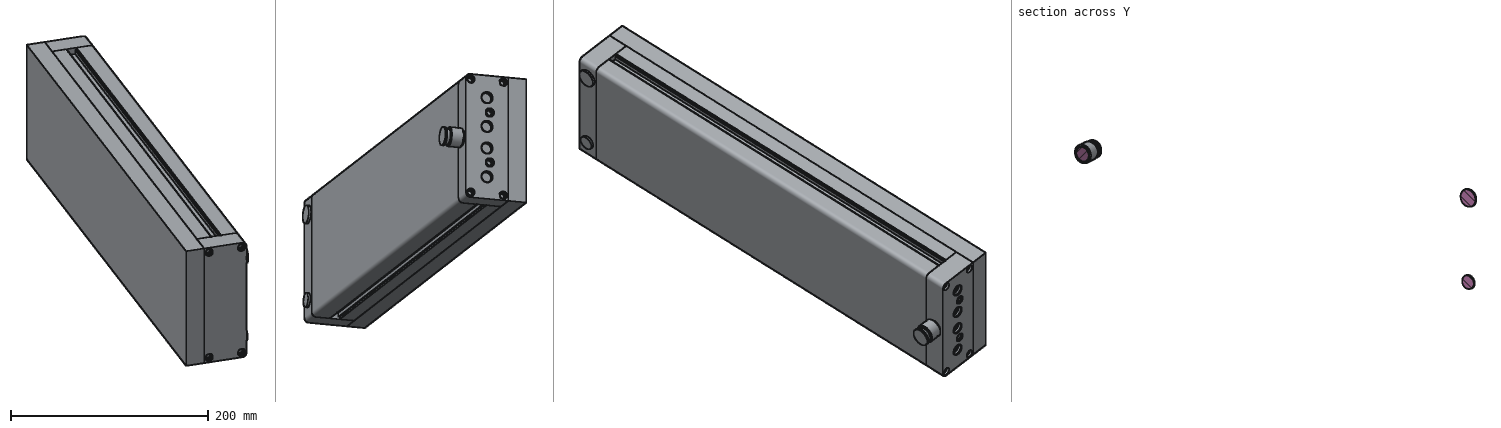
import cadquery as cq

LENGTH = 496.0
HEIGHT = 130.0
TOTAL_DEPTH = 86.5

PAD_DEPTH = 19.5
BODY_BACK = 65.0
CAP_LENGTH = 23.0
EDGE_RADIUS = 5.0

SLOT_CENTER_Y = 40.0
SLOT_MOUTH_WIDTH = 10.5
SLOT_MOUTH_DEPTH = 2.5
SLOT_WIDTH = 8.0
SLOT_DEPTH = 7.0

SCREW_INSET_Z = 5.5
SCREW_YS = (25.0, 59.5)
SCREW_HEAD_RADIUS = 4.0
SCREW_HEAD_DEPTH = 3.0
SCREW_RADIUS = 2.5
SCREW_DEPTH = 5.0

PORT_Y = 42.0
PORT_ZS = (-41.5, -11.5, 11.5, 41.5)
PORT_RADIUS = 6.0
PORT_STEP_DEPTH = 1.0
PORT_BORE_RADIUS = 5.5
PORT_DEPTH = 4.0
MOUNT_Y = 39.0
MOUNT_ZS = (-26.5, 26.5)
MOUNT_RADIUS = 4.5
MOUNT_STEP_DEPTH = 1.5
MOUNT_BORE_RADIUS = 3.0
MOUNT_DEPTH = 5.0

FITTING_NECK_RADIUS = 8.0
FITTING_BODY_RADIUS = 10.0
FITTING_FLANGE_RADIUS = 9.5
FITTING_GAP = 2.0
FITTING_BODY_END = 80.5
FITTING_BODY_CHAMFER = 1.0
FITTING_FLANGE_THICKNESS = 2.0

PLUG_THICKNESS = 2.5
PLUGS = ((9.5, 45.5), (7.5, -44.5))

END_X = LENGTH / 2
CAP_CENTER_X = END_X - CAP_LENGTH / 2
PROFILE_LENGTH = LENGTH - 2 * CAP_LENGTH
SCREW_Z = HEIGHT / 2 - SCREW_INSET_Z


def block(length, center_x, front_y, back_y):
    """Box of the full height between two Y planes."""
    depth = back_y - front_y
    return cq.Workplane("XY").box(length, depth, HEIGHT).translate((center_x, front_y + depth / 2, 0))


def rounded_block(length, center_x):
    """Box from the pad to the back, with its two long back edges rounded."""
    return block(length, center_x, PAD_DEPTH, BODY_BACK).edges("|X and >Y").fillet(EDGE_RADIUS)


def disc_along_y(radius, x, z, start_y, end_y):
    """Cylinder along Y."""
    start = cq.Vector(x, start_y, z)
    return cq.Workplane(cq.Solid.makeCylinder(radius, end_y - start_y, start, cq.Vector(0, 1, 0)))


def hole_cutter(side, radius, depth, y, z):
    """Cylinder reaching inward along X from one end of the part (side is -1 or +1)."""
    start = cq.Vector(side * END_X, y, z)
    return cq.Workplane(cq.Solid.makeCylinder(radius, depth, start, cq.Vector(-side, 0, 0)))


def stepped_hole(body, side, y, z, radius, step_depth, bore_radius, depth):
    """Cut a shallow wide recess with a narrower, deeper bore in it."""
    body = body.cut(hole_cutter(side, radius, step_depth, y, z))
    return body.cut(hole_cutter(side, bore_radius, depth, y, z))


def make_pad():
    return block(LENGTH, 0, 0, PAD_DEPTH)


def make_profile():
    profile = rounded_block(PROFILE_LENGTH, 0)
    for width, depth in ((SLOT_MOUTH_WIDTH, SLOT_MOUTH_DEPTH), (SLOT_WIDTH, SLOT_DEPTH)):
        for side in (-1, 1):
            slot_z = side * (HEIGHT - depth) / 2
            slot = cq.Workplane("XY").box(PROFILE_LENGTH, width, depth)
            profile = profile.cut(slot.translate((0, SLOT_CENTER_Y, slot_z)))
    return profile


def make_cap(side):
    """Plain end cap with its four screw holes."""
    cap = rounded_block(CAP_LENGTH, side * CAP_CENTER_X)
    for y in SCREW_YS:
        for z in (-SCREW_Z, SCREW_Z):
            cap = stepped_hole(
                cap, side, y, z, SCREW_HEAD_RADIUS, SCREW_HEAD_DEPTH, SCREW_RADIUS, SCREW_DEPTH
            )
    return cap


def make_fitting():
    """Hose fitting: a neck carrying a thick body and a thin end flange."""
    x = -CAP_CENTER_X
    flange_start = TOTAL_DEPTH - FITTING_FLANGE_THICKNESS
    neck = disc_along_y(FITTING_NECK_RADIUS, x, 0, BODY_BACK, TOTAL_DEPTH)
    body = disc_along_y(FITTING_BODY_RADIUS, x, 0, BODY_BACK + FITTING_GAP, FITTING_BODY_END)
    body = body.edges(">Y").chamfer(FITTING_BODY_CHAMFER)
    flange = disc_along_y(FITTING_FLANGE_RADIUS, x, 0, flange_start, TOTAL_DEPTH)
    return neck.union(body).union(flange)


def make_left_cap():
    cap = make_cap(-1)
    for z in PORT_ZS:
        cap = stepped_hole(cap, -1, PORT_Y, z, PORT_RADIUS, PORT_STEP_DEPTH, PORT_BORE_RADIUS, PORT_DEPTH)
    for z in MOUNT_ZS:
        cap = stepped_hole(
            cap, -1, MOUNT_Y, z, MOUNT_RADIUS, MOUNT_STEP_DEPTH, MOUNT_BORE_RADIUS, MOUNT_DEPTH
        )
    return cap.union(make_fitting())


def make_right_cap():
    cap = make_cap(1)
    for radius, z in PLUGS:
        cap = cap.union(disc_along_y(radius, CAP_CENTER_X, z, BODY_BACK, BODY_BACK + PLUG_THICKNESS))
    return cap


pad = make_pad()
profile = make_profile()
left_cap = make_left_cap()
right_cap = make_right_cap()

result = cq.Compound.makeCompound([pad.val(), profile.val(), left_cap.val(), right_cap.val()])